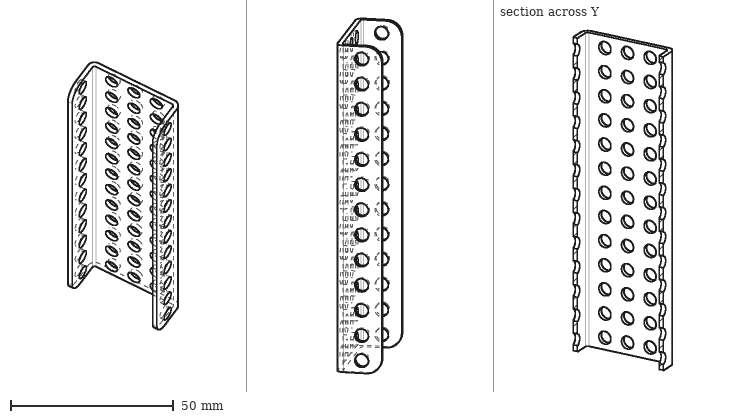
import cadquery as cq

web_width = 32.0
flange_depth = 14.3
thickness = 1.6
inner_bend_radius = 0.75
flange_corner_radius = 4.8

hole_diameter = 4.2
hole_pitch = 8.0
hole_rows = 13
web_hole_columns = 3
flange_hole_from_back = hole_pitch

length = hole_rows * hole_pitch
outer_bend_radius = inner_bend_radius + thickness
inner_width = web_width - 2 * thickness
front_y = -flange_depth


def bent_block(width, back_y, bend_radius):
    """Full-length block from the flange tips to back_y, with rounded back edges."""
    depth = back_y - front_y
    return (
        cq.Workplane("XY")
        .box(width, depth, length)
        .translate((0, front_y + depth / 2, 0))
        .edges("|Z and >Y")
        .fillet(bend_radius)
    )


def channel():
    """U-channel with its back face on Y = 0 and its open side toward -Y."""
    outside = bent_block(web_width, 0, outer_bend_radius)
    inside = bent_block(inner_width, -thickness, inner_bend_radius)
    return outside.cut(inside)


def round_flange_corners(body):
    """Round the top and bottom corners of both flange tips."""
    return body.edges("|X and <Y").fillet(flange_corner_radius)


def web_holes():
    """Cutters for the grid of holes through the web."""
    return (
        cq.Workplane("XZ")
        .rarray(hole_pitch, hole_pitch, web_hole_columns, hole_rows)
        .circle(hole_diameter / 2)
        .extrude(flange_depth)
    )


def flange_holes():
    """Cutters for the single row of holes through both flanges."""
    return (
        cq.Workplane("YZ")
        .center(-flange_hole_from_back, 0)
        .rarray(hole_pitch, hole_pitch, 1, hole_rows)
        .circle(hole_diameter / 2)
        .extrude(web_width / 2, both=True)
    )


result = round_flange_corners(channel()).cut(web_holes()).cut(flange_holes())